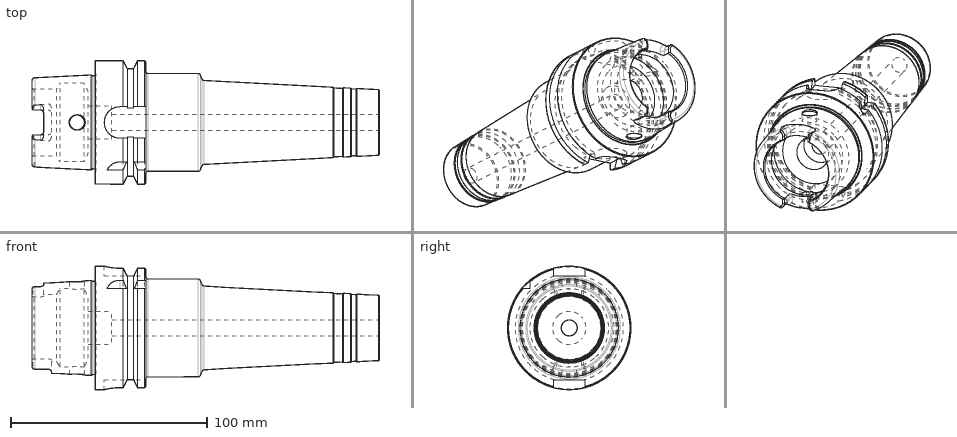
import cadquery as cq
import math


SHANK_LENGTH = 32.0
NOSE_X = 145.0

TAPER_RATIO = 1 / 9.98
GAUGE_DIAMETER = 48.04
GAUGE_X = -6.3
TAPER_END_X = -2.0
SHANK_EDGE_ROUND = 1.5
NECK_DEPTH = 0.4
NECK_FLANK = 0.8
NECK_ROUND = 1.0
FACE_RECESS_DIAMETER = 50.6
FACE_RECESS_DEPTH = 0.5

FLANGE_DIAMETER = 63.0
FLANGE_WIDTH = 26.0
FLANGE_FACE_CHAMFER = 0.4
FLANGE_BACK_CHAMFER = 0.6
GRIP_GROOVE_X = 18.125
GRIP_GROOVE_DIAMETER = 55.0
GRIP_GROOVE_FLOOR = 3.1
GRIP_GROOVE_MOUTH = 7.3

BODY_DIAMETER = 50.0
BODY_END_X = 53.4
BODY_SHOULDER_LENGTH = 1.5
BODY_ROOT_ROUND = 1.0
SHOULDER_ROUND = 1.2
NOSE_DIAMETER = 33.5
NOSE_ANGLE = 3.0
NOSE_EDGE_CHAMFER = 0.5
RING_GROOVE_DEPTH = 0.35
RING_GROOVE_FLANK = 0.5
RING_GROOVES = ((121.3, 126.6), (130.3, 133.5))

MOUTH_DIAMETER = 34.0
MOUTH_CHAMFER = 0.5
MOUTH_CHAMFER_LENGTH = 1.0
MOUTH_LENGTH = 12.5
CLAMP_DIAMETER = 40.0
CLAMP_ANGLE = 60.0
CLAMP_END_DEPTH = 26.5
FLOOR_DIAMETER = 32.0
FLOOR_DEPTH = 28.5
TUBE_BORE_DIAMETER = 16.92
TUBE_BORE_DEPTH = 12.0
THROUGH_DIAMETER = 8.0

CROSS_HOLE_DIAMETER = 7.5
CROSS_HOLE_DEPTH = 22.9
CROSS_HOLE_CHAMFER = 0.5

DRIVE_WIDTH = 12.54
DRIVE_DEPTH_TOP = 5.9
DRIVE_DEPTH_BOTTOM = 9.9
DRIVE_CORNER_RADIUS = 1.6
DRIVE_FLARE_RADIUS = 3.0
DRIVE_FLARE_TOP = 21.1
DRIVE_EDGE_CHAMFER = 0.9
DRIVE_EDGE_CHAMFER_LENGTH = 0.5

KEYWAY_RADIUS = 8.0
KEYWAY_FLOOR = 26.5
KEYWAY_START_X = 4.8
NOTCH_RADIUS = 7.25
NOTCH_WALL = 20.1

CLEARANCE = 5.0
TOLERANCE = 0.01


def taper_radius(x):
    return (GAUGE_DIAMETER + (x - GAUGE_X) * TAPER_RATIO) / 2


def nose_radius(x):
    return NOSE_DIAMETER / 2 + (NOSE_X - x) * math.tan(math.radians(NOSE_ANGLE))


def revolve_about_x(profile):
    return profile.close().revolve(360, (0, 0, 0), (1, 0, 0))


def round_circle(body, x, radius, fillet_radius):
    """Fillet the circular edge of the given radius that lies at the given x."""
    reach = radius + TOLERANCE
    box = cq.selectors.BoxSelector((x - TOLERANCE, -reach, -reach), (x + TOLERANCE, reach, reach), True)
    return body.edges(box).fillet(fillet_radius)


def turned_body():
    neck_radius = taper_radius(TAPER_END_X) - NECK_DEPTH
    recess_radius = FACE_RECESS_DIAMETER / 2
    flange_radius = FLANGE_DIAMETER / 2
    body_radius = BODY_DIAMETER / 2
    half_floor = GRIP_GROOVE_FLOOR / 2
    half_mouth = GRIP_GROOVE_MOUTH / 2
    groove_radius = GRIP_GROOVE_DIAMETER / 2
    cone_start_x = BODY_END_X + BODY_SHOULDER_LENGTH
    profile = (
        cq.Workplane("XY")
        .moveTo(-SHANK_LENGTH, 0)
        .lineTo(-SHANK_LENGTH, taper_radius(-SHANK_LENGTH))
        .lineTo(TAPER_END_X, taper_radius(TAPER_END_X))
        .lineTo(TAPER_END_X + NECK_FLANK, neck_radius)
        .lineTo(FACE_RECESS_DEPTH, neck_radius)
        .lineTo(FACE_RECESS_DEPTH, recess_radius - FACE_RECESS_DEPTH)
        .lineTo(0, recess_radius)
        .lineTo(0, flange_radius - FLANGE_FACE_CHAMFER)
        .lineTo(FLANGE_FACE_CHAMFER, flange_radius)
        .lineTo(GRIP_GROOVE_X - half_mouth, flange_radius)
        .lineTo(GRIP_GROOVE_X - half_floor, groove_radius)
        .lineTo(GRIP_GROOVE_X + half_floor, groove_radius)
        .lineTo(GRIP_GROOVE_X + half_mouth, flange_radius)
        .lineTo(FLANGE_WIDTH - FLANGE_BACK_CHAMFER, flange_radius)
        .lineTo(FLANGE_WIDTH, flange_radius - FLANGE_BACK_CHAMFER)
        .lineTo(FLANGE_WIDTH, body_radius)
        .lineTo(BODY_END_X, body_radius)
        .lineTo(cone_start_x, nose_radius(cone_start_x))
        .lineTo(NOSE_X, nose_radius(NOSE_X))
        .lineTo(NOSE_X, 0)
    )
    body = revolve_about_x(profile)
    body = round_circle(body, -SHANK_LENGTH, taper_radius(-SHANK_LENGTH), SHANK_EDGE_ROUND)
    body = round_circle(body, TAPER_END_X + NECK_FLANK, neck_radius, NECK_ROUND)
    body = round_circle(body, FLANGE_WIDTH, body_radius, BODY_ROOT_ROUND)
    body = round_circle(body, BODY_END_X, body_radius, SHOULDER_ROUND)
    body = round_circle(body, cone_start_x, nose_radius(cone_start_x), SHOULDER_ROUND)
    return body.faces(">X").edges().chamfer(NOSE_EDGE_CHAMFER)


def ring_groove(start_x, end_x):
    floor_start_x = start_x + RING_GROOVE_FLANK
    floor_end_x = end_x - RING_GROOVE_FLANK
    profile = (
        cq.Workplane("XY")
        .moveTo(start_x, nose_radius(start_x))
        .lineTo(floor_start_x, nose_radius(floor_start_x) - RING_GROOVE_DEPTH)
        .lineTo(floor_end_x, nose_radius(floor_end_x) - RING_GROOVE_DEPTH)
        .lineTo(end_x, nose_radius(end_x))
        .lineTo(end_x, nose_radius(end_x) + CLEARANCE)
        .lineTo(start_x, nose_radius(start_x) + CLEARANCE)
    )
    return revolve_about_x(profile)


def shank_bore():
    mouth_radius = MOUTH_DIAMETER / 2
    clamp_radius = CLAMP_DIAMETER / 2
    shoulder = (clamp_radius - mouth_radius) / math.tan(math.radians(CLAMP_ANGLE))
    floor_x = FLOOR_DEPTH - SHANK_LENGTH
    tube_end_x = floor_x + TUBE_BORE_DEPTH
    tube_radius = TUBE_BORE_DIAMETER / 2
    profile = (
        cq.Workplane("XY")
        .moveTo(-SHANK_LENGTH, 0)
        .lineTo(-SHANK_LENGTH, mouth_radius + MOUTH_CHAMFER)
        .lineTo(-SHANK_LENGTH + MOUTH_CHAMFER_LENGTH, mouth_radius)
        .lineTo(-SHANK_LENGTH + MOUTH_LENGTH, mouth_radius)
        .lineTo(-SHANK_LENGTH + MOUTH_LENGTH + shoulder, clamp_radius)
        .lineTo(-SHANK_LENGTH + CLAMP_END_DEPTH, clamp_radius)
        .lineTo(floor_x, FLOOR_DIAMETER / 2)
        .lineTo(floor_x, tube_radius)
        .lineTo(tube_end_x, tube_radius)
        .lineTo(tube_end_x, THROUGH_DIAMETER / 2)
        .lineTo(NOSE_X, THROUGH_DIAMETER / 2)
        .lineTo(NOSE_X, 0)
    )
    return revolve_about_x(profile)


def cross_hole():
    """Radial hole on the +Z side of the shank, chamfered where it meets the taper."""
    x = CROSS_HOLE_DEPTH - SHANK_LENGTH
    radius = CROSS_HOLE_DIAMETER / 2
    surface = taper_radius(x)
    profile = (
        cq.Workplane("XZ")
        .lineTo(radius, 0)
        .lineTo(radius, surface - CROSS_HOLE_CHAMFER)
        .lineTo(radius + CROSS_HOLE_CHAMFER, surface)
        .lineTo(radius + CROSS_HOLE_CHAMFER, surface + CLEARANCE)
        .lineTo(0, surface + CLEARANCE)
        .close()
    )
    return profile.revolve(360, (0, 0, 0), (0, 1, 0)).translate((x, 0, 0))


def drive_outline(offset):
    """Slot section across the axis, walls moved outwards by offset, with a rounded flare at the top."""
    half_width = DRIVE_WIDTH / 2 + offset
    radius = DRIVE_FLARE_RADIUS - offset
    flare_base = DRIVE_FLARE_TOP - DRIVE_FLARE_RADIUS
    flare_top = flare_base + radius
    flare_end = half_width + radius
    mid_y = flare_end - radius * math.cos(math.pi / 4)
    mid_z = flare_base + radius * math.sin(math.pi / 4)
    side = flare_end + CLEARANCE
    roof = FLANGE_DIAMETER / 2
    return (
        cq.Workplane("YZ", origin=(-SHANK_LENGTH, 0, 0))
        .moveTo(-half_width, 0)
        .lineTo(half_width, 0)
        .lineTo(half_width, flare_base)
        .threePointArc((mid_y, mid_z), (flare_end, flare_top))
        .lineTo(side, flare_top)
        .lineTo(side, roof)
        .lineTo(-side, roof)
        .lineTo(-side, flare_top)
        .lineTo(-flare_end, flare_top)
        .threePointArc((-mid_y, mid_z), (-half_width, flare_base))
        .close()
    )


def drive_slot(depth):
    """Driving slot on the +Z side, with rounded inner corners and a chamfered mouth."""
    slot = drive_outline(0).extrude(depth)
    wall_reach = DRIVE_WIDTH / 2 + DRIVE_FLARE_RADIUS + 2 * CLEARANCE
    end_x = depth - SHANK_LENGTH
    corner_box = cq.selectors.BoxSelector(
        (end_x - TOLERANCE, -wall_reach, TOLERANCE),
        (end_x + TOLERANCE, wall_reach, DRIVE_FLARE_TOP + TOLERANCE),
    )
    slot = slot.edges(corner_box).fillet(DRIVE_CORNER_RADIUS)
    chamfer_angle = math.degrees(math.atan(DRIVE_EDGE_CHAMFER / DRIVE_EDGE_CHAMFER_LENGTH))
    mouth = drive_outline(DRIVE_EDGE_CHAMFER).extrude(DRIVE_EDGE_CHAMFER_LENGTH, taper=chamfer_angle)
    return slot.union(mouth)


def flange_keyway():
    """Keyway on the +Z side of the flange: round at the spindle end, open towards the nose."""
    centre_x = KEYWAY_START_X + KEYWAY_RADIUS
    return (
        cq.Workplane("XY", origin=(0, 0, KEYWAY_FLOOR))
        .moveTo(FLANGE_WIDTH + BODY_ROOT_ROUND, KEYWAY_RADIUS)
        .lineTo(centre_x, KEYWAY_RADIUS)
        .threePointArc((KEYWAY_START_X, 0), (centre_x, -KEYWAY_RADIUS))
        .lineTo(FLANGE_WIDTH + BODY_ROOT_ROUND, -KEYWAY_RADIUS)
        .close()
        .extrude(FLANGE_DIAMETER)
    )


def orientation_notch():
    """Notch in the flange edge between -Y and +Z, with a round end at the spindle end."""
    centre_x = KEYWAY_START_X + KEYWAY_RADIUS
    centre_y = -NOTCH_WALL - NOTCH_RADIUS
    mid = NOTCH_RADIUS * math.sqrt(0.5)
    return (
        cq.Workplane("XY", origin=(0, 0, NOTCH_WALL))
        .moveTo(FLANGE_WIDTH + BODY_ROOT_ROUND, -NOTCH_WALL)
        .lineTo(centre_x, -NOTCH_WALL)
        .threePointArc((centre_x - mid, centre_y + mid), (centre_x - NOTCH_RADIUS, centre_y))
        .lineTo(FLANGE_WIDTH + BODY_ROOT_ROUND, centre_y)
        .close()
        .extrude(FLANGE_DIAMETER)
    )


def on_bottom(cutter):
    """Move a cutter made for the +Z side to the -Z side."""
    return cutter.rotate((0, 0, 0), (1, 0, 0), 180)


result = turned_body().cut(shank_bore())
for groove_start, groove_end in RING_GROOVES:
    result = result.cut(ring_groove(groove_start, groove_end))
result = result.cut(cross_hole()).cut(on_bottom(cross_hole()))
result = result.cut(drive_slot(DRIVE_DEPTH_TOP)).cut(on_bottom(drive_slot(DRIVE_DEPTH_BOTTOM)))
result = result.cut(flange_keyway()).cut(on_bottom(flange_keyway()))
result = result.cut(orientation_notch())